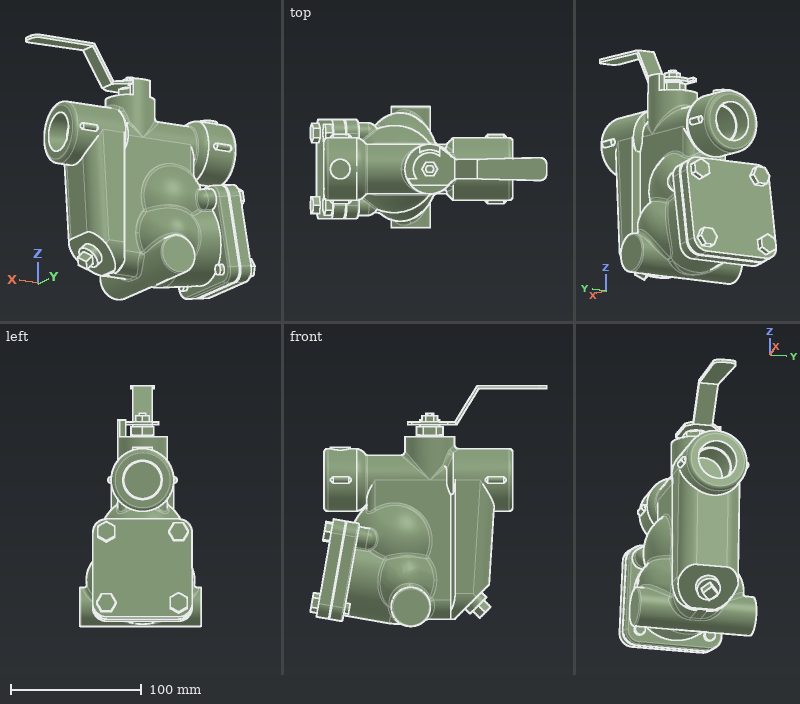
import cadquery as cq
import math


PIPE_DIA = 38.0
COLLAR_DIA = 48.0
COLLAR_FILLET = 3.0
INLET_X = -80.9
OUTLET_X = 63.5
INLET_COLLAR_LENGTH = 25.3
INLET_NECK_LENGTH = 7.0
INLET_NECK_BULGE = 0.8
NECK_ROOT_FILLET = 1.5
OUTLET_CONE_START_X = 12.8
OUTLET_CONE_LENGTH = 5.0
SOCKET_DIA = 30.0
SOCKET_DEPTH = 16.0
BORE_DIA = 28.57
BORE_DEPTH = 40.0

RIB_DIA = 5.0
RIB_LENGTH = 16.0
RIB_CHAMFER = 2.0
RIB_INSET = 5.0
PAD_DIA = 15.0
PAD_INSET = 12.5
PAD_HEIGHT = 1.0

BONNET_TOP = 33.2
STEM_NECK_DIA = 15.0
GLAND_BOTTOM = 34.3
GLAND_HEIGHT = 6.5
GLAND_FLATS = 17.6
LEVER_TOP = 72.0
LEVER_BOTTOM = 42.0
LEVER_THICK = 2.3
LEVER_TIP_X = 89.5
LEVER_LOW_BEND_X = 19.8
LEVER_HIGH_BEND_X = 36.8
LEVER_ROOT_WIDTH = 15.0
LEVER_TIP_WIDTH = 18.0
LEVER_TIP_RADIUS = 5.5
HUB_RADIUS = 12.5
HUB_RIM_RADIUS = 18.5
HUB_FLAT_Y = -12.4
STOP_CLEARANCE = 0.1
NUT_FLATS = 10.4
NUT_HEIGHT = 4.8
STEM_DIA = 6.0
STEM_FLATS = 5.0
STEM_TOP = 51.1
STOP_TOP = 46.0
STOP_WIDTH = 15.0
STOP_INNER_RADIUS = 14.7

BODY_HALF_WIDTH = 19.0
BODY_LEFT_X = -48.0
BODY_LEFT_BOTTOM = -46.0
BODY_LEFT_FILLET = 6.0
BODY_BOTTOM = -106.6
BODY_BOTTOM_FLAT = 4.0
STEP_X = 16.0
STEP_RUN = 3.4
OUTLET_HALF_WIDTH = COLLAR_DIA / 2
OUTLET_TOP_X = 50.5
OUTLET_CORNER_X = 45.5
OUTLET_CORNER_Z = -79.8
OUTLET_FILLET = 12.0

CHAMBER_DIA = 66.8
SPHERE_X = -27.1
SPHERE_Z = -46.0
DOME_X = -22.5
DOME_Z = -76.3
DOME_RADIUS = 30.0
DOME_HALF_WIDTH = 41.5
SIDE_SHIFT = 1.5
BARREL_END_SETBACK = 3.0
CAST_FILLET = 3.0
BODY_SIDE_FILLET = 2.5
EDGE_TOLERANCE = 0.01

BOSS_X = -14.5
BOSS_Z = -97.0
BOSS_DIA = 30.0
BOSS_SPAN = 93.0
BOSS_FILLET = 1.0

TILT = 10.0
COVER_X = -80.1
COVER_Z = -67.2
COVER_SIZE = 76.0
COVER_THICK = 9.5
COVER_CORNER = 10.5
GASKET_THICK = 0.8
GASKET_INSET = 0.8
FLANGE_THICK = 10.0
FLANGE_FILLET = 1.5
BOLT_SPACING = 55.2
BOLT_DIA = 8.0
BOLT_END = 3.5
HEAD_FLATS = 13.0
HEAD_HEIGHT = 5.3
BOLT_BOSS_DIA = 16.0
BOLT_BOSS_LENGTH = 7.5
BOLT_BOSS_FILLET = 1.0

PLUG_RIM_DIA = 18.0
PLUG_RIM_HEIGHT = 5.5
PLUG_HEAD_DIAGONAL = 12.0
PLUG_HEAD_HEIGHT = 7.5
PLUG_SINK = 3.0
PLUG_SHIFT = 1.1

PIPE_R = PIPE_DIA / 2
COLLAR_R = COLLAR_DIA / 2
CHAMBER_R = CHAMBER_DIA / 2
BACK = COVER_THICK + GASKET_THICK + FLANGE_THICK


def hex_corner_dia(flats):
    return flats / math.cos(math.radians(30))


def cylinder(point, direction, dia, length):
    return cq.Workplane(cq.Solid.makeCylinder(dia / 2, length, cq.Vector(*point), cq.Vector(*direction)))


def on_body_side(edge):
    """True for an edge lying in one of the flat sides of the narrow body."""
    box = edge.BoundingBox()
    height = abs(box.ymin + box.ymax) / 2
    return box.ylen < EDGE_TOLERANCE and abs(height - BODY_HALF_WIDTH) < EDGE_TOLERANCE


def blend(first, second, radius, wanted=lambda edge: True):
    """Join two shapes and fillet the wanted new edges where their surfaces meet."""
    joined = first.union(second)
    old_edges = cq.Compound.makeCompound(first.edges().vals() + second.edges().vals())
    new_edges = [
        edge for edge in joined.edges().vals()
        if cq.Vertex.makeVertex(*edge.positionAt(0.5).toTuple()).distance(old_edges) > EDGE_TOLERANCE
        and wanted(edge)
    ]
    return joined.newObject(new_edges).fillet(radius)


def pipe():
    """Pipe, conical transitions and both end collars as one turned shape."""
    collar_end = INLET_X + INLET_COLLAR_LENGTH
    neck_end = collar_end + INLET_NECK_LENGTH
    neck_mid = ((collar_end + neck_end) / 2 + INLET_NECK_BULGE / 2,
                (COLLAR_R + PIPE_R) / 2 + INLET_NECK_BULGE)
    turned = (
        cq.Workplane("XZ")
        .moveTo(INLET_X, 0)
        .lineTo(INLET_X, COLLAR_R)
        .lineTo(collar_end, COLLAR_R)
        .threePointArc(neck_mid, (neck_end, PIPE_R))
        .lineTo(OUTLET_CONE_START_X, PIPE_R)
        .lineTo(OUTLET_CONE_START_X + OUTLET_CONE_LENGTH, COLLAR_R)
        .lineTo(OUTLET_X, COLLAR_R)
        .lineTo(OUTLET_X, 0)
        .close()
        .revolve(360, (0, 0, 0), (1, 0, 0))
    )
    turned = turned.faces("<X or >X").edges().fillet(COLLAR_FILLET)
    neck_root = cq.selectors.NearestToPointSelector((neck_end, 0, 0))
    return turned.edges("%CIRCLE").edges(neck_root).fillet(NECK_ROOT_FILLET)


def sockets():
    """Stepped bore cut into each pipe end."""
    cutter = cq.Workplane("XY")
    for x, inward in ((INLET_X, 1), (OUTLET_X, -1)):
        cutter = cutter.union(cylinder((x, 0, 0), (inward, 0, 0), SOCKET_DIA, SOCKET_DEPTH))
        cutter = cutter.union(cylinder((x, 0, 0), (inward, 0, 0), BORE_DIA, BORE_DEPTH))
    return cutter


def collar_marks():
    """Side ribs on both collars and a round pad on top of the inlet collar."""
    marks = cylinder((INLET_X + PAD_INSET, 0, 0), (0, 0, 1), PAD_DIA, COLLAR_R + PAD_HEIGHT)
    for x in (INLET_X + RIB_INSET, OUTLET_X - RIB_INSET - RIB_LENGTH):
        for y in (-COLLAR_R, COLLAR_R):
            rib = cylinder((x, y, 0), (1, 0, 0), RIB_DIA, RIB_LENGTH)
            marks = marks.union(rib.edges("%CIRCLE").chamfer(RIB_CHAMFER))
    return marks


def bonnet():
    """Bonnet tube with the lever stop standing on its rim."""
    tube = cylinder((0, 0, 0), (0, 0, 1), PIPE_DIA, BONNET_TOP)
    stop = (
        cylinder((0, 0, 0), (0, 0, 1), PIPE_DIA, STOP_TOP)
        .cut(cylinder((0, 0, BONNET_TOP), (0, 0, 1), 2 * STOP_INNER_RADIUS, STOP_TOP))
        .intersect(cq.Workplane("XY").box(STOP_WIDTH, PIPE_R, STOP_TOP, centered=(True, False, False)))
    )
    return tube.union(stop)


def stem():
    """Gland nut, stem neck, lever nut and flatted stem end."""
    lever_face = LEVER_BOTTOM + LEVER_THICK
    neck = cylinder((0, 0, 0), (0, 0, 1), STEM_NECK_DIA, LEVER_BOTTOM)
    gland = (
        cq.Workplane("XY", origin=(0, 0, GLAND_BOTTOM))
        .polygon(6, hex_corner_dia(GLAND_FLATS))
        .extrude(GLAND_HEIGHT)
    )
    nut = (
        cq.Workplane("XY", origin=(0, 0, lever_face))
        .polygon(6, hex_corner_dia(NUT_FLATS))
        .extrude(NUT_HEIGHT)
    )
    tip = cylinder((0, 0, 0), (0, 0, 1), STEM_DIA, STEM_TOP).intersect(
        cq.Workplane("XY").box(STEM_DIA, STEM_FLATS, 2 * STEM_TOP)
    )
    return neck.union(gland).union(nut).union(tip)


def lever_hub():
    """Lever plate around the stem, with two shoulders that meet the stop."""
    half_root = LEVER_ROOT_WIDTH / 2
    stop_edge = STOP_WIDTH / 2 + STOP_CLEARANCE
    shoulder_y = -half_root
    upper = (stop_edge, math.sqrt(HUB_RADIUS**2 - stop_edge**2))
    lower = (-math.sqrt(HUB_RADIUS**2 - shoulder_y**2), shoulder_y)
    middle_angle = math.radians(135)
    middle = (HUB_RADIUS * math.cos(middle_angle), HUB_RADIUS * math.sin(middle_angle))
    flat_half = math.sqrt(HUB_RIM_RADIUS**2 - HUB_FLAT_Y**2)
    return (
        cq.Workplane("XY", origin=(0, 0, LEVER_BOTTOM))
        .moveTo(LEVER_LOW_BEND_X, half_root)
        .lineTo(stop_edge, math.sqrt(HUB_RIM_RADIUS**2 - stop_edge**2))
        .lineTo(*upper)
        .threePointArc(middle, lower)
        .lineTo(-math.sqrt(HUB_RIM_RADIUS**2 - shoulder_y**2), shoulder_y)
        .lineTo(-flat_half, HUB_FLAT_Y)
        .lineTo(flat_half, HUB_FLAT_Y)
        .lineTo(LEVER_LOW_BEND_X, -half_root)
        .close()
        .extrude(LEVER_THICK)
    )


def lever_arm():
    """Cranked strip that widens to a rounded tip."""
    rise = LEVER_TOP - LEVER_THICK - LEVER_BOTTOM
    slope = math.atan2(rise, LEVER_HIGH_BEND_X - LEVER_LOW_BEND_X)
    miter = LEVER_THICK / 2 * math.tan(slope / 2)
    strip = (
        cq.Workplane("XZ")
        .polyline([
            (HUB_RADIUS, LEVER_BOTTOM),
            (LEVER_LOW_BEND_X + miter, LEVER_BOTTOM),
            (LEVER_HIGH_BEND_X + miter, LEVER_TOP - LEVER_THICK),
            (LEVER_TIP_X, LEVER_TOP - LEVER_THICK),
            (LEVER_TIP_X, LEVER_TOP),
            (LEVER_HIGH_BEND_X - miter, LEVER_TOP),
            (LEVER_LOW_BEND_X - miter, LEVER_BOTTOM + LEVER_THICK),
            (HUB_RADIUS, LEVER_BOTTOM + LEVER_THICK),
        ])
        .close()
        .extrude(LEVER_TIP_WIDTH, both=True)
    )
    plan = (
        cq.Workplane("XY")
        .polyline([
            (HUB_RADIUS, -LEVER_ROOT_WIDTH / 2),
            (LEVER_HIGH_BEND_X, -LEVER_ROOT_WIDTH / 2),
            (LEVER_TIP_X, -LEVER_TIP_WIDTH / 2),
            (LEVER_TIP_X, LEVER_TIP_WIDTH / 2),
            (LEVER_HIGH_BEND_X, LEVER_ROOT_WIDTH / 2),
            (HUB_RADIUS, LEVER_ROOT_WIDTH / 2),
        ])
        .close()
        .extrude(LEVER_TOP)
        .edges("|Z and >X")
        .fillet(LEVER_TIP_RADIUS)
    )
    return strip.intersect(plan)


def trough(half_width, start_x, length):
    """Straight-sided bar under the pipe axis with rounded bottom corners."""
    return (
        cq.Workplane("YZ", origin=(start_x, 0, 0))
        .rect(2 * half_width, 2 * abs(BODY_BOTTOM))
        .extrude(length)
        .edges("|X and <Z")
        .fillet(half_width - BODY_BOTTOM_FLAT)
        .intersect(
            cq.Workplane("XY").box(4 * length, 4 * half_width, abs(BODY_BOTTOM), centered=(True, True, False))
            .translate((start_x, 0, BODY_BOTTOM))
        )
    )


def inlet_body():
    """Narrow part of the body, its left side ending in the float chamber."""
    bar = trough(BODY_HALF_WIDTH, BODY_LEFT_X, STEP_X + STEP_RUN - BODY_LEFT_X)
    bar = bar.edges("|Z and <X").fillet(BODY_LEFT_FILLET)
    below = (
        cq.Workplane("XY")
        .box(SPHERE_X - BODY_LEFT_X, 4 * BODY_HALF_WIDTH, abs(BODY_BOTTOM), centered=(False, True, False))
        .translate((BODY_LEFT_X, 0, BODY_LEFT_BOTTOM + BODY_BOTTOM))
    )
    return bar.cut(below)


def outlet_body():
    """Wide part of the body with a tapered end and a 45 degree bottom corner."""
    chamfer_x = OUTLET_CORNER_X - (OUTLET_CORNER_Z - BODY_BOTTOM)
    side = (
        cq.Workplane("XZ")
        .polyline([
            (STEP_X, 0),
            (OUTLET_TOP_X, 0),
            (OUTLET_CORNER_X, OUTLET_CORNER_Z),
            (chamfer_x, BODY_BOTTOM),
            (STEP_X, BODY_BOTTOM),
        ])
        .close()
        .extrude(OUTLET_HALF_WIDTH, both=True)
    )
    end_edges = side.faces(">X").edges("not |Y")
    side = end_edges.edges(cq.selectors.BoxSelector(
        (OUTLET_CORNER_X, -2 * OUTLET_HALF_WIDTH, OUTLET_CORNER_Z),
        (OUTLET_TOP_X, 2 * OUTLET_HALF_WIDTH, 0),
    )).fillet(OUTLET_FILLET)
    plan = (
        cq.Workplane("XY", origin=(0, 0, BODY_BOTTOM))
        .polyline([
            (STEP_X, -BODY_HALF_WIDTH),
            (STEP_X + STEP_RUN, -OUTLET_HALF_WIDTH),
            (OUTLET_TOP_X, -OUTLET_HALF_WIDTH),
            (OUTLET_TOP_X, OUTLET_HALF_WIDTH),
            (STEP_X + STEP_RUN, OUTLET_HALF_WIDTH),
            (STEP_X, BODY_HALF_WIDTH),
        ])
        .close()
        .extrude(-BODY_BOTTOM)
    )
    return trough(OUTLET_HALF_WIDTH, STEP_X, OUTLET_TOP_X - STEP_X).intersect(side).intersect(plan)


def tilted_plane(depth):
    """Plane parallel to the cover, at a depth behind its outer face."""
    along = (math.cos(math.radians(TILT)), 0, -math.sin(math.radians(TILT)))
    origin = (COVER_X + depth * along[0], 0, COVER_Z + depth * along[2])
    return cq.Workplane(cq.Plane(origin=origin, xDir=(0, 1, 0), normal=along))


def float_sphere():
    return cq.Workplane("XY").sphere(CHAMBER_R).translate((SPHERE_X, 0, SPHERE_Z))


def barrel():
    """Tilted cylinder behind the cover, closed by a round end."""
    reach = (DOME_X - COVER_X) / math.cos(math.radians(TILT)) - BARREL_END_SETBACK
    start = BACK - FLANGE_THICK / 2
    tube = tilted_plane(start).circle(CHAMBER_R).extrude(reach - start)
    return tube.union(tilted_plane(reach).sphere(CHAMBER_R))


def dome():
    """Spheroid that bulges out of both sides of the body."""
    return (
        cq.Workplane("XY")
        .moveTo(0, -DOME_HALF_WIDTH)
        .ellipseArc(DOME_RADIUS, DOME_HALF_WIDTH, -90, 90, startAtCurrent=True)
        .close()
        .revolve(360, (0, 0, 0), (0, 1, 0))
        .translate((DOME_X, SIDE_SHIFT, DOME_Z))
    )


def side_bosses():
    """Round boss through the body, proud on both sides."""
    bar = cylinder((BOSS_X, SIDE_SHIFT - BOSS_SPAN / 2, BOSS_Z), (0, 1, 0), BOSS_DIA, BOSS_SPAN)
    return bar.edges("%CIRCLE").fillet(BOSS_FILLET)


def square_plate(depth, size, thick, corner):
    plate = tilted_plane(depth).rect(size, size).extrude(thick)
    return plate.edges(cq.selectors.ParallelDirSelector(tilted_plane(0).plane.zDir)).fillet(corner)


def cover_and_flange():
    """Cover, recessed gasket and body flange."""
    cover = square_plate(0, COVER_SIZE, COVER_THICK, COVER_CORNER)
    gasket = square_plate(COVER_THICK, COVER_SIZE - 2 * GASKET_INSET, GASKET_THICK, COVER_CORNER - GASKET_INSET)
    flange = square_plate(COVER_THICK + GASKET_THICK, COVER_SIZE, FLANGE_THICK, COVER_CORNER)
    flange = flange.faces(cq.selectors.DirectionMinMaxSelector(tilted_plane(0).plane.zDir, True))
    flange = flange.edges().fillet(FLANGE_FILLET)
    return cover.union(gasket).union(flange)


def bolt_bosses():
    """Round-nosed bosses that take the two upper bolts."""
    half = BOLT_SPACING / 2
    start = BACK - FLANGE_THICK / 2
    end = BACK + BOLT_BOSS_LENGTH
    spots = [(-half, half), (half, half)]
    bars = tilted_plane(start).pushPoints(spots).circle(BOLT_BOSS_DIA / 2).extrude(end - start)
    noses = tilted_plane(end).pushPoints(spots).sphere(BOLT_BOSS_DIA / 2)
    return bars.union(noses)


def cover_bolts():
    """Hex heads on the cover, and the ends of the two lower bolts behind the flange."""
    half = BOLT_SPACING / 2
    bolts = (
        tilted_plane(BACK - FLANGE_THICK / 2)
        .pushPoints([(-half, -half), (half, -half)])
        .circle(BOLT_DIA / 2)
        .extrude(FLANGE_THICK / 2 + BOLT_END)
    )
    for side in (-1, 1):
        for level in (-1, 1):
            turn = 0 if side * level < 0 else 30
            head = (
                tilted_plane(-HEAD_HEIGHT)
                .center(side * half, level * half)
                .transformed(rotate=(0, 0, turn))
                .polygon(6, hex_corner_dia(HEAD_FLATS))
                .extrude(HEAD_HEIGHT)
            )
            bolts = bolts.union(head)
    return bolts


def drain_plug():
    """Round rim and square head standing on the 45 degree corner."""
    half_run = (OUTLET_CORNER_Z - BODY_BOTTOM) / 2
    seat = cq.Plane(
        origin=(OUTLET_CORNER_X - half_run + PLUG_SHIFT, 0, OUTLET_CORNER_Z - half_run + PLUG_SHIFT),
        xDir=(0, 1, 0),
        normal=(1, 0, -1),
    )
    rim = (
        cq.Workplane(seat).workplane(offset=-PLUG_SINK)
        .circle(PLUG_RIM_DIA / 2).extrude(PLUG_SINK + PLUG_RIM_HEIGHT)
    )
    head = (
        cq.Workplane(seat).workplane(offset=PLUG_RIM_HEIGHT)
        .polygon(4, PLUG_HEAD_DIAGONAL).extrude(PLUG_HEAD_HEIGHT)
    )
    return rim.union(head)


def main_body():
    """Body, float chamber and side bosses, filleted where they meet like one casting."""
    chamber = blend(float_sphere(), barrel(), CAST_FILLET)
    chamber = blend(chamber, dome(), CAST_FILLET)
    casting = blend(inlet_body(), chamber, BODY_SIDE_FILLET, on_body_side)
    casting = blend(casting, side_bosses(), CAST_FILLET)
    return blend(casting, bolt_bosses(), BOLT_BOSS_FILLET)


def attachments():
    """Collar marks, bolts, plug, stem and lever as one group of separate pieces."""
    group = collar_marks()
    for piece in (cover_bolts(), drain_plug(), stem(), lever_hub(), lever_arm()):
        group = group.union(piece)
    return group


pipe_run = blend(pipe(), bonnet(), CAST_FILLET).union(outlet_body())
result = main_body().union(cover_and_flange()).union(pipe_run)
result = result.union(attachments()).cut(sockets())